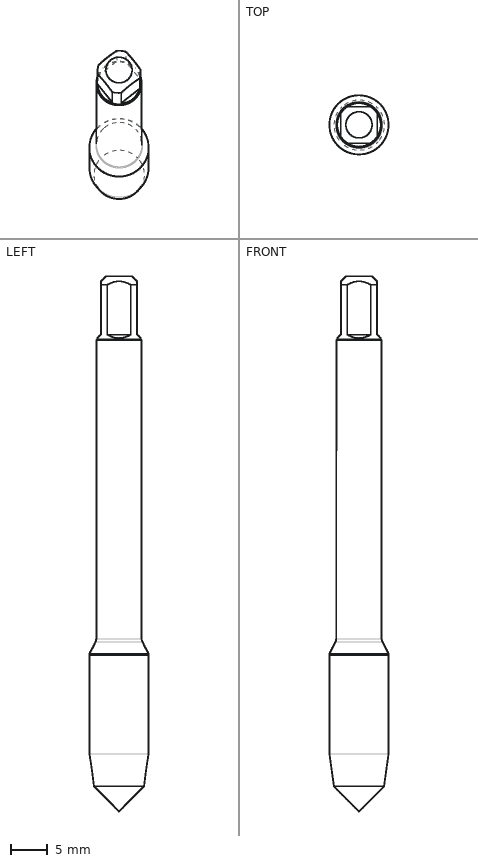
import cadquery as cq

LENGTH = 73.25

THREAD_RADIUS = 8.1 / 2
POINT_HEIGHT = 3.45
POINT_RADIUS = POINT_HEIGHT
LEAD_TOP = 7.9
THREAD_TOP = 21.4

SHANK_RADIUS = 6.2 / 2
COLLAR_TOP = 21.6
SHOULDER_TOP = 23.45
BLEND_RADIUS = 0.8
SELECTION_MARGIN = 0.1

SQUARE_WIDTH = 5.0
FLAT_COUNT = 4
CORNER_RADIUS = 5.9 / 2
END_RADIUS = 3.6 / 2
SHANK_TOP = 64.45
NECK_BASE = SHANK_TOP + SHANK_RADIUS - CORNER_RADIUS
FLAT_BASE = 65.3
RUN_OUT = CORNER_RADIUS - SQUARE_WIDTH / 2


def make_cutting_body():
    """Solid of revolution standing on its point."""
    return (
        cq.Workplane("XZ")
        .polyline([
            (0, 0),
            (POINT_RADIUS, POINT_HEIGHT),
            (THREAD_RADIUS, LEAD_TOP),
            (THREAD_RADIUS, THREAD_TOP),
            (0, THREAD_TOP),
        ])
        .close()
        .revolve(360, (0, 0), (0, 1))
    )


def make_round_shank():
    """Collar, shoulder and cylinder, with a concave blend above the shoulder."""
    shank = (
        cq.Workplane("XZ")
        .polyline([
            (0, THREAD_TOP),
            (THREAD_RADIUS, THREAD_TOP),
            (THREAD_RADIUS, COLLAR_TOP),
            (SHANK_RADIUS, SHOULDER_TOP),
            (SHANK_RADIUS, SHANK_TOP),
            (CORNER_RADIUS, NECK_BASE),
            (0, NECK_BASE),
        ])
        .close()
        .revolve(360, (0, 0), (0, 1))
    )
    shoulder_edge = cq.selectors.BoxSelector(
        (-THREAD_RADIUS, -THREAD_RADIUS, COLLAR_TOP + SELECTION_MARGIN),
        (THREAD_RADIUS, THREAD_RADIUS, SHOULDER_TOP + SELECTION_MARGIN),
        boundingbox=True,
    )
    return shank.edges(shoulder_edge).fillet(BLEND_RADIUS)


def make_flat_cutter():
    """Block that cuts the +X flat, with a sloped run-out at its lower end."""
    return (
        cq.Workplane("XZ")
        .moveTo(SQUARE_WIDTH / 2, LENGTH)
        .lineTo(SQUARE_WIDTH / 2, FLAT_BASE)
        .lineTo(CORNER_RADIUS, FLAT_BASE - RUN_OUT)
        .lineTo(CORNER_RADIUS, LENGTH)
        .close()
        .extrude(CORNER_RADIUS, both=True)
    )


def make_drive_square():
    """Cylinder with a chamfered end and four flats."""
    square = (
        cq.Workplane("XY", origin=(0, 0, NECK_BASE))
        .circle(CORNER_RADIUS)
        .extrude(LENGTH - NECK_BASE)
        .faces(">Z")
        .chamfer(CORNER_RADIUS - END_RADIUS)
    )
    cutter = make_flat_cutter()
    for side in range(FLAT_COUNT):
        angle = side * 360 / FLAT_COUNT
        square = square.cut(cutter.rotate((0, 0, 0), (0, 0, 1), angle))
    return square


cutting_body = make_cutting_body()
shank = make_round_shank().union(make_drive_square())

result = cq.Compound.makeCompound([cutting_body.val(), shank.val()])